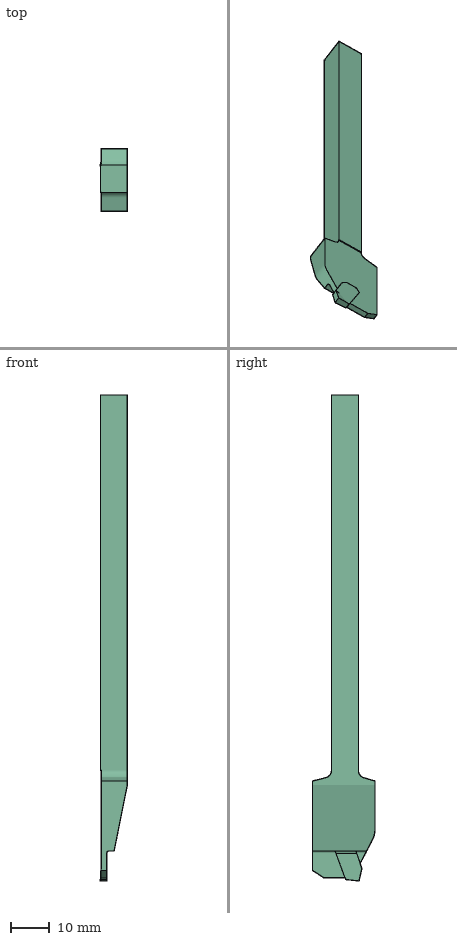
import cadquery as cq

TOTAL_LENGTH = 125.0
TOTAL_THICKNESS = 7.0

SHANK_WIDTH = 7.0
SHANK_FACE_X = 0.06
BLADE_FACE_X = 0.2
BLADE_LEFT_Y = 7.8
BLADE_RIGHT_Y = -8.4
BLADE_BOTTOM_Z = 0.9
SHOULDER_OUTER_Z = 25.8
SHOULDER_INNER_Z = 27.0
SHOULDER_RADIUS = 1.9
SHANK_FACE_BOTTOM_Z = 28.5

FLANK_TOP_Z = 11.9
FLANK_BOTTOM_Y = 2.0
FLANK_RADIUS = 6.2
BEVEL_WIDTH = 2.9
BEVEL_HEIGHT = 1.9

THIN_BACK_X = 1.8
STEP_BACK_X = 3.6
STEP_Z = 7.8
STEP_RADIUS = 0.6
TAPER_TOP_Z = 24.6

INSERT_TOP_Z = 10.1
INSERT_SHOULDER_Z = 8.6
INSERT_TOP_LEFT = (1.1, INSERT_TOP_Z)
INSERT_TOP_RIGHT = (-2.0, INSERT_TOP_Z)
INSERT_RIGHT = (-2.9, INSERT_SHOULDER_Z)
INSERT_LEFT = (2.5, INSERT_SHOULDER_Z)
TIP_RIGHT_UPPER = (0.0, BLADE_BOTTOM_Z)
TIP_RIGHT = (0.2, 0.4)
TIP_LOWER = (3.6, 0.0)
TIP_OUTER = (4.4, 3.2)
TIP_EDGE_INNER = (0.9, 0.6)
TIP_EDGE_OUTER = (3.4, 3.0)
CUTTER_SIZE = 25.0


def plate(points, front_x, back_x):
    """Extrude a closed (Y, Z) outline from front_x to back_x."""
    return cq.Workplane("YZ", origin=(front_x, 0, 0)).polyline(points).close().extrude(back_x - front_x)


def make_profile():
    """Shank and blade outline at full thickness, with rounded shoulders."""
    half = SHANK_WIDTH / 2
    points = [
        (half, TOTAL_LENGTH),
        (half, SHOULDER_INNER_Z),
        (BLADE_LEFT_Y, SHOULDER_OUTER_Z),
        (BLADE_LEFT_Y, FLANK_TOP_Z),
        (FLANK_BOTTOM_Y, BLADE_BOTTOM_Z),
        (BLADE_RIGHT_Y + BEVEL_WIDTH, BLADE_BOTTOM_Z),
        (BLADE_RIGHT_Y, BLADE_BOTTOM_Z + BEVEL_HEIGHT),
        (BLADE_RIGHT_Y, SHOULDER_OUTER_Z),
        (-half, SHOULDER_INNER_Z),
        (-half, TOTAL_LENGTH),
    ]
    body = plate(points, BLADE_FACE_X, TOTAL_THICKNESS)
    middle_x = (BLADE_FACE_X + TOTAL_THICKNESS) / 2
    for y in (half, -half):
        shoulder = cq.selectors.NearestToPointSelector((middle_x, y, SHOULDER_INNER_Z))
        body = body.edges(shoulder).fillet(SHOULDER_RADIUS)
    flank = cq.selectors.NearestToPointSelector((middle_x, BLADE_LEFT_Y, FLANK_TOP_Z))
    return body.edges(flank).fillet(FLANK_RADIUS)


def make_back_relief():
    """Material removed behind the blade: a taper, a step and a thin end."""
    width = BLADE_LEFT_Y - BLADE_RIGHT_Y
    relief = (
        cq.Workplane("XZ", origin=(0, BLADE_LEFT_Y, 0))
        .moveTo(TOTAL_THICKNESS, TAPER_TOP_Z)
        .lineTo(STEP_BACK_X, STEP_Z)
        .lineTo(THIN_BACK_X, STEP_Z)
        .lineTo(THIN_BACK_X, 0)
        .lineTo(TOTAL_THICKNESS, 0)
        .close()
        .extrude(width)
    )
    middle_y = (BLADE_LEFT_Y + BLADE_RIGHT_Y) / 2
    step = cq.selectors.NearestToPointSelector((THIN_BACK_X, middle_y, STEP_Z))
    return relief.edges(step).fillet(STEP_RADIUS)


def make_raised_shank_face():
    """Thin pad that brings the shank slightly in front of the blade."""
    thickness = BLADE_FACE_X - SHANK_FACE_X
    height = TOTAL_LENGTH - SHANK_FACE_BOTTOM_Z
    return (
        cq.Workplane("XY")
        .box(thickness, SHANK_WIDTH, height, centered=(False, True, False))
        .translate((SHANK_FACE_X, 0, SHANK_FACE_BOTTOM_Z))
    )


def make_sloping_face_space():
    """Space in front of a plane rising from the blade face at the tip edge to X = 0 at the low corner."""
    inner = cq.Vector(BLADE_FACE_X, *TIP_EDGE_INNER)
    outer = cq.Vector(BLADE_FACE_X, *TIP_EDGE_OUTER)
    low_corner = cq.Vector(0, *TIP_LOWER)
    normal = (outer - inner).cross(low_corner - inner)
    if normal.x > 0:
        normal = -normal
    slope = cq.Plane(origin=inner, xDir=outer - inner, normal=normal)
    return cq.Workplane(slope).rect(CUTTER_SIZE, CUTTER_SIZE).extrude(CUTTER_SIZE)


def make_insert():
    """Cutting insert flush with the blade, with a tip that slopes outward."""
    outline = [
        INSERT_TOP_LEFT, INSERT_TOP_RIGHT, INSERT_RIGHT, TIP_RIGHT_UPPER,
        TIP_RIGHT, TIP_LOWER, TIP_OUTER, INSERT_LEFT,
    ]
    tip = [TIP_EDGE_INNER, TIP_RIGHT, TIP_LOWER, TIP_OUTER, TIP_EDGE_OUTER]
    base = plate(outline, BLADE_FACE_X, THIN_BACK_X)
    raised_tip = plate(tip, 0, BLADE_FACE_X).cut(make_sloping_face_space())
    return base.union(raised_tip)


insert = make_insert()
holder = make_profile().cut(make_back_relief()).union(make_raised_shank_face()).cut(insert)

result = cq.Compound.makeCompound([holder.val(), insert.val()])